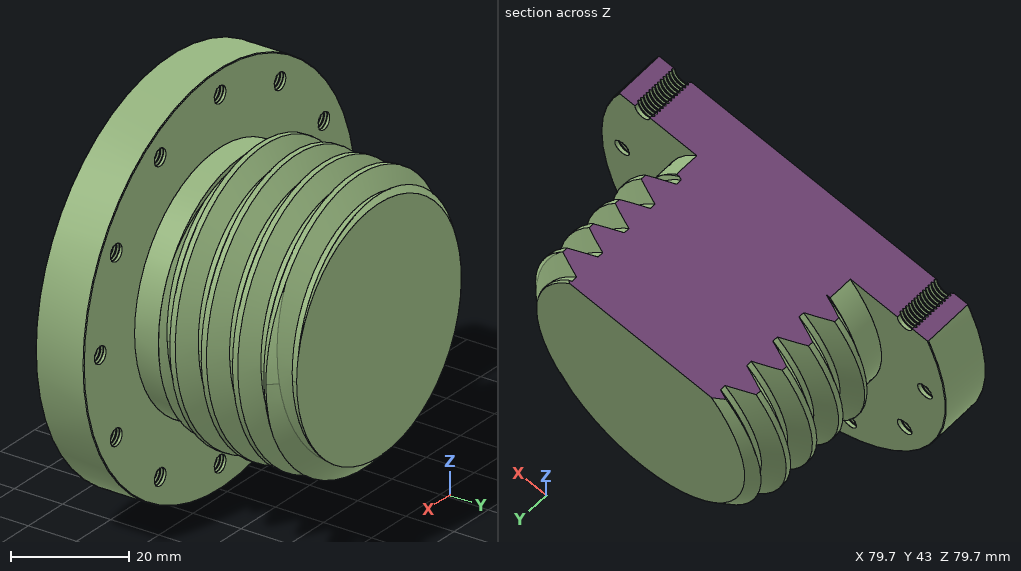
import cadquery as cq
import math

FLANGE_DIAMETER = 79.7
FLANGE_THICKNESS = 10.0
FLANGE_CHAMFER = 0.15

NECK_DIAMETER = 50.0
NECK_LENGTH = 5.0
TOTAL_LENGTH = 43.0
THREAD_START = FLANGE_THICKNESS + NECK_LENGTH

THREAD_PITCH = 6.5
THREAD_MAJOR_RADIUS = 55.6 / 2
THREAD_ROOT_RADIUS = 48.13 / 2
THREAD_CREST_WIDTH = 1.1
THREAD_FLANK_ANGLE = 30.0
THREAD_OVERLAP = 0.2
ENVELOPE_MARGIN = 1.0
THREAD_FIRST_CREST = 10.15

HOLE_COUNT = 12
HOLE_CIRCLE_RADIUS = 35.0
TAP_MINOR_RADIUS = 3.33 / 2
TAP_MAJOR_RADIUS = 4.11 / 2
TAP_PITCH = 0.7
TAP_CREST_WIDTH = 0.12
TAP_FLANK_ANGLE = 30.0
TAP_OVERLAP = 0.02
TAP_DEPTH = FLANGE_THICKNESS - TAP_PITCH
TAP_LEAD_IN = 1.375 * TAP_PITCH


def helical_ridge(root_radius, crest_radius, crest_width, flank_angle, pitch, overlap, start, turns):
    """Trapezoidal right-handed ridge around Z; it begins at +X with its crest at height `start`."""
    base_radius = root_radius - overlap
    half_crest = crest_width / 2
    half_base = half_crest + (crest_radius - base_radius) * math.tan(math.radians(flank_angle))
    helix = cq.Wire.makeHelix(pitch, turns * pitch, root_radius, cq.Vector(0, 0, start))
    profile = (
        cq.Workplane("XZ")
        .moveTo(base_radius, start - half_base)
        .lineTo(crest_radius, start - half_crest)
        .lineTo(crest_radius, start + half_crest)
        .lineTo(base_radius, start + half_base)
        .close()
    )
    return profile.sweep(cq.Workplane(obj=helix), isFrenet=True)


def cylinder(radius, start, end):
    return cq.Workplane("XY").workplane(offset=start).circle(radius).extrude(end - start)


def thread_envelope():
    """Turned blank that trims both ends of the thread with a cone."""
    outer_radius = THREAD_MAJOR_RADIUS + ENVELOPE_MARGIN
    start_cone_length = (outer_radius - NECK_DIAMETER / 2) * math.tan(math.radians(THREAD_FLANK_ANGLE))
    end_cone_length = outer_radius - THREAD_ROOT_RADIUS
    return (
        cq.Workplane("XZ")
        .moveTo(0, THREAD_START)
        .lineTo(NECK_DIAMETER / 2, THREAD_START)
        .lineTo(outer_radius, THREAD_START + start_cone_length)
        .lineTo(outer_radius, TOTAL_LENGTH - end_cone_length)
        .lineTo(THREAD_ROOT_RADIUS, TOTAL_LENGTH)
        .lineTo(0, TOTAL_LENGTH)
        .close()
        .revolve(360, (0, 0, 0), (0, 1, 0))
    )


def threaded_stub():
    turns = math.ceil((TOTAL_LENGTH - THREAD_FIRST_CREST) / THREAD_PITCH) + 1
    ridge = helical_ridge(
        THREAD_ROOT_RADIUS, THREAD_MAJOR_RADIUS, THREAD_CREST_WIDTH, THREAD_FLANK_ANGLE,
        THREAD_PITCH, THREAD_OVERLAP, THREAD_FIRST_CREST, turns,
    )
    ridge = ridge.rotate((0, 0, 0), (0, 0, 1), 180)
    core = cylinder(THREAD_ROOT_RADIUS, THREAD_START, TOTAL_LENGTH)
    return core.union(ridge.intersect(thread_envelope()))


def tapped_hole():
    drill = cylinder(TAP_MINOR_RADIUS, -2 * TAP_LEAD_IN, FLANGE_THICKNESS + 2 * TAP_LEAD_IN)
    turns = (TAP_LEAD_IN + TAP_DEPTH) / TAP_PITCH
    ridge = helical_ridge(
        TAP_MINOR_RADIUS, TAP_MAJOR_RADIUS, TAP_CREST_WIDTH, TAP_FLANK_ANGLE,
        TAP_PITCH, TAP_OVERLAP, -TAP_LEAD_IN, turns,
    )
    return drill.union(ridge)


def flange():
    disc = cylinder(FLANGE_DIAMETER / 2, 0, FLANGE_THICKNESS).edges().chamfer(FLANGE_CHAMFER)
    hole = tapped_hole().val()
    holes = []
    for i in range(HOLE_COUNT):
        angle = 2 * math.pi * i / HOLE_COUNT
        place = cq.Vector(HOLE_CIRCLE_RADIUS * math.cos(angle), HOLE_CIRCLE_RADIUS * math.sin(angle), 0)
        holes.append(hole.translate(place))
    return disc.cut(cq.Workplane(obj=cq.Compound.makeCompound(holes)))


neck = cylinder(NECK_DIAMETER / 2, FLANGE_THICKNESS, THREAD_START)
part = flange().union(neck).union(threaded_stub())

result = part.rotate((0, 0, 0), (1, 0, 0), -90)